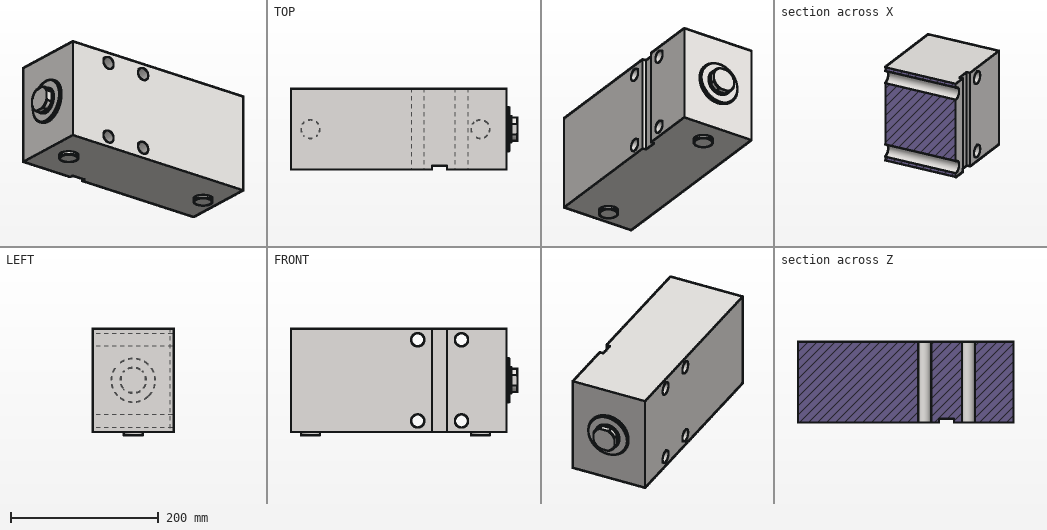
import cadquery as cq

TOTAL_LENGTH = 307.0
TOTAL_HEIGHT = 145.0

BLOCK_DEPTH = 110.0
ROD_PROTRUSION = 14.7
PLUG_PROTRUSION = 5.0
BLOCK_LENGTH = TOTAL_LENGTH - ROD_PROTRUSION
BLOCK_HEIGHT = TOTAL_HEIGHT - PLUG_PROTRUSION
FRONT_Y = -BLOCK_DEPTH / 2
MID_Z = BLOCK_HEIGHT / 2

SLOT_WIDTH = 20.0
SLOT_DEPTH = 5.2
SLOT_X = 201.5

BOLT_DIAMETER = 17.5
BOLT_SPACING_X = 59.3
BOLT_EDGE_DISTANCE = 15.0
BOLT_SPACING_Z = BLOCK_HEIGHT - 2 * BOLT_EDGE_DISTANCE

PLUG_DIAMETER = 26.0
PLUG_CHAMFER = 1.0
PLUG_POSITIONS_X = (26.5, 256.5)

GLAND_DIAMETER = 60.2
GLAND_THICKNESS = 3.7
GLAND_CHAMFER = 1.0

ROD_DIAMETER = 36.0
ROD_SHOULDER_LENGTH = 6.5
ROD_END_DIAMETER = 35.0
ROD_SHOULDER_CHAMFER = (ROD_DIAMETER - ROD_END_DIAMETER) / 2
ROD_END_LENGTH = ROD_PROTRUSION - ROD_SHOULDER_LENGTH
ROD_END_CHAMFER = 0.5
WRENCH_SIZE = 32.0


def rod_axis_plane(x):
    """Workplane facing +X, centred on the rod axis at the given X."""
    return cq.Workplane("YZ", origin=(x, 0, MID_Z))


def make_block():
    """Rectangular block with the key slot and four bolt holes."""
    block = cq.Workplane("XY").box(
        BLOCK_LENGTH, BLOCK_DEPTH, BLOCK_HEIGHT, centered=(False, True, False)
    )
    slot = (
        cq.Workplane("XY")
        .box(SLOT_WIDTH, SLOT_DEPTH, BLOCK_HEIGHT, centered=(True, False, False))
        .translate((SLOT_X, FRONT_Y, 0))
    )
    bolt_holes = (
        cq.Workplane("XZ", origin=(SLOT_X, FRONT_Y, MID_Z))
        .rect(BOLT_SPACING_X, BOLT_SPACING_Z, forConstruction=True)
        .vertices()
        .circle(BOLT_DIAMETER / 2)
        .extrude(-BLOCK_DEPTH)
    )
    return block.cut(slot).cut(bolt_holes)


def make_plug(x):
    """Round plug hanging under the block, chamfered at its lower rim."""
    return (
        cq.Workplane("XY", origin=(x, 0, -PLUG_PROTRUSION))
        .circle(PLUG_DIAMETER / 2)
        .extrude(PLUG_PROTRUSION)
        .faces("<Z")
        .chamfer(PLUG_CHAMFER)
    )


def make_gland():
    """Flat ring on the end face of the block, with a chamfered outer rim."""
    return (
        rod_axis_plane(BLOCK_LENGTH)
        .circle(GLAND_DIAMETER / 2)
        .extrude(GLAND_THICKNESS)
        .faces(">X")
        .chamfer(GLAND_CHAMFER)
        .cut(rod_axis_plane(BLOCK_LENGTH).circle(ROD_DIAMETER / 2).extrude(GLAND_THICKNESS))
    )


def make_rod():
    """Rod seated on the block end face, passing through the gland ring."""
    shoulder_x = BLOCK_LENGTH + ROD_SHOULDER_LENGTH
    shoulder = (
        rod_axis_plane(BLOCK_LENGTH)
        .circle(ROD_DIAMETER / 2)
        .extrude(ROD_SHOULDER_LENGTH)
        .faces(">X")
        .chamfer(ROD_SHOULDER_CHAMFER)
    )
    wrench_square = rod_axis_plane(shoulder_x).rect(WRENCH_SIZE, WRENCH_SIZE).extrude(ROD_END_LENGTH)
    rod_end = (
        rod_axis_plane(shoulder_x)
        .circle(ROD_END_DIAMETER / 2)
        .extrude(ROD_END_LENGTH)
        .faces(">X")
        .chamfer(ROD_END_CHAMFER)
        .intersect(wrench_square)
    )
    return shoulder.union(rod_end)


block = make_block()
gland = make_gland()
rod = make_rod()
plugs = [make_plug(x) for x in PLUG_POSITIONS_X]

result = cq.Compound.makeCompound(
    [block.val(), gland.val(), rod.val(), *[plug.val() for plug in plugs]]
)